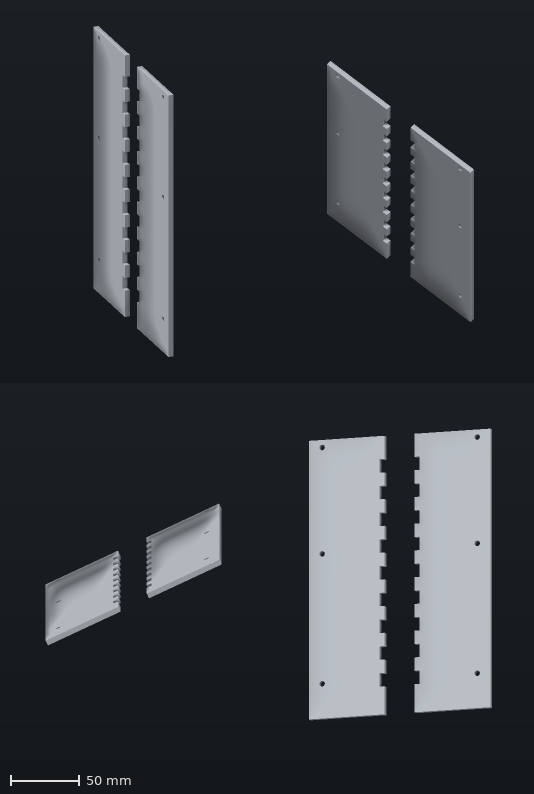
import cadquery as cq

total_width = 140.6
height = 208.0
thickness = 4.0
plate_width = 58.7

notch_count = 9
notch_height = 10.0
notch_pitch = 2 * notch_height
notch_depth = 4.0
first_notch_bottom = 21.0

hole_diameter = 4.2
hole_inset = 10.2
hole_heights = [26.0, 123.0, 202.5]


def make_plate(outer_x, inward):
    """Notched plate whose outer edge is at outer_x; inward is +1 or -1 along X."""
    inner_x = outer_x + inward * plate_width
    plate = cq.Workplane("XY").box(plate_width, thickness, height, centered=(True, True, False))
    plate = plate.translate(((outer_x + inner_x) / 2, 0, 0))

    for index in range(notch_count):
        notch = cq.Workplane("XY").box(notch_depth, thickness, notch_height, centered=(True, True, False))
        notch_x = inner_x - inward * notch_depth / 2
        notch_z = first_notch_bottom + index * notch_pitch
        plate = plate.cut(notch.translate((notch_x, 0, notch_z)))

    hole_x = outer_x + inward * hole_inset
    holes = (
        cq.Workplane("XZ")
        .pushPoints([(hole_x, hole_z) for hole_z in hole_heights])
        .circle(hole_diameter / 2)
        .extrude(thickness / 2, both=True)
    )
    return plate.cut(holes)


left_plate = make_plate(-total_width / 2, 1)
right_plate = make_plate(total_width / 2, -1)

result = cq.Compound.makeCompound([left_plate.val(), right_plate.val()])